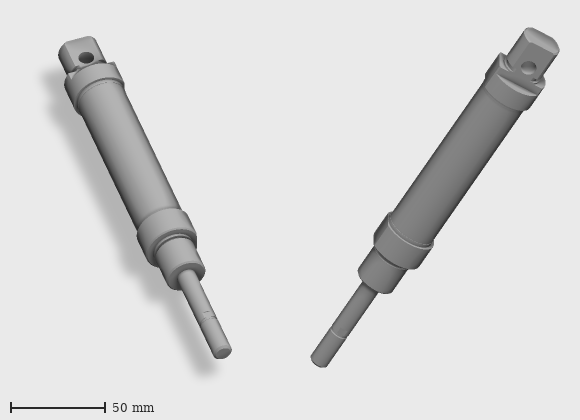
import cadquery as cq


total_length = 231.5
cap_radius = 15.0
side_flat_y = 13.5
thread_radius = 11.0
relief_radius = 9.5
thread_chamfer = 0.8
rim_radius = 13.5
rim_length = 2.0

rear_relief_start = 18.3
rear_relief_end = 20.8
rear_shoulder_x = 21.8
rear_step_x = 26.5
rear_rim_x = 37.0
barrel_start_x = rear_rim_x + rim_length

tang_thickness = 16.0
pivot_hole_x = 14.4
pivot_hole_diameter = 8.3

barrel_radius = 13.2
barrel_end_x = 134.5

front_cap_x = barrel_end_x + rim_length
front_shoulder_x = 151.6
front_relief_start = 153.0
front_relief_end = 154.9
nose_end_x = 173.0
shoulder_chamfer = 0.7

rod_radius = 5.2
wrench_flat_x = 204.5
wrench_flat_width = 9.5
rod_relief_start = 208.1
rod_relief_end = 209.5
rod_relief_radius = 4.9
rod_thread_start = 210.0
rod_tip_x = total_length
rod_tip_chamfer = 1.2


def cylinder(start_x, end_x, radius):
    """Solid cylinder on the X axis between two stations."""
    return cq.Workplane("YZ", origin=(start_x, 0, 0)).circle(radius).extrude(end_x - start_x)


def box(start_x, end_x, y_range, z_range):
    """Axis-aligned block between two stations and the given Y and Z limits."""
    size = (end_x - start_x, y_range[1] - y_range[0], z_range[1] - z_range[0])
    return cq.Workplane("XY").box(*size, centered=False).translate((start_x, y_range[0], z_range[0]))


def cut_side_flat(cap, start_x, end_x):
    """Trim the +Y side of a cap to its flat."""
    trim = box(start_x, end_x, (side_flat_y, 2 * cap_radius), (-cap_radius, cap_radius))
    return cap.cut(trim)


def cut_parallel_flats(body, start_x, end_x, thickness, reach):
    """Trim the top and bottom of a body to two flats the given thickness apart."""
    half = thickness / 2
    for z_range in ((half, reach), (-reach, -half)):
        body = body.cut(box(start_x, end_x, (-reach, reach), z_range))
    return body


def make_rear_cap():
    cap = cylinder(0, rear_relief_start, thread_radius).faces("<X").chamfer(thread_chamfer)
    cap = cap.union(cylinder(rear_relief_start, rear_relief_end, relief_radius))
    cap = cap.union(cylinder(rear_relief_end, rear_shoulder_x, thread_radius))
    cap = cap.union(cylinder(rear_shoulder_x, rear_rim_x, cap_radius))
    cap = cap.union(cylinder(rear_rim_x, barrel_start_x, rim_radius))
    cap = cut_side_flat(cap, 0, barrel_start_x)
    cap = cut_parallel_flats(cap, 0, rear_step_x, tang_thickness, 2 * cap_radius)
    pivot_hole = (
        cq.Workplane("XY", origin=(pivot_hole_x, 0, -cap_radius))
        .circle(pivot_hole_diameter / 2)
        .extrude(2 * cap_radius)
    )
    return cap.cut(pivot_hole)


def make_barrel():
    return cylinder(barrel_start_x, barrel_end_x, barrel_radius)


def make_front_cap():
    cap = cylinder(front_cap_x, front_shoulder_x, cap_radius).faces(">X").chamfer(shoulder_chamfer)
    cap = cap.union(cylinder(barrel_end_x, front_cap_x, rim_radius))
    cap = cap.union(cylinder(front_shoulder_x, front_relief_start, thread_radius))
    cap = cap.union(cylinder(front_relief_start, front_relief_end, relief_radius))
    nose = cylinder(front_relief_end, nose_end_x, thread_radius).faces(">X").chamfer(thread_chamfer)
    cap = cap.union(nose)
    return cut_side_flat(cap, barrel_end_x, front_shoulder_x)


def make_rod():
    rod = (
        cq.Workplane("XY")
        .moveTo(nose_end_x, 0)
        .lineTo(nose_end_x, rod_radius)
        .lineTo(rod_relief_start, rod_radius)
        .lineTo(rod_relief_start, rod_relief_radius)
        .lineTo(rod_relief_end, rod_relief_radius)
        .lineTo(rod_thread_start, rod_radius)
        .lineTo(rod_tip_x - rod_tip_chamfer, rod_radius)
        .lineTo(rod_tip_x, rod_radius - rod_tip_chamfer)
        .lineTo(rod_tip_x, 0)
        .close()
        .revolve(360, (0, 0, 0), (1, 0, 0))
    )
    return cut_parallel_flats(rod, wrench_flat_x, rod_relief_end, wrench_flat_width, 2 * rod_radius)


rear_cap = make_rear_cap()
barrel = make_barrel()
front_cap = make_front_cap()
rod = make_rod()

result = cq.Compound.makeCompound([rear_cap.val(), barrel.val(), front_cap.val(), rod.val()])